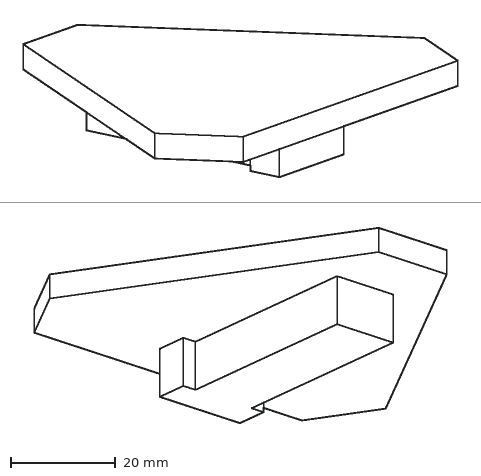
import cadquery as cq
import math

plate_width = 83.7
corner_cut = 17.0
plate_thickness = 5.0
triangle_side = plate_width + corner_cut
corner_radius = triangle_side / math.sqrt(3)
triangle_inradius = corner_radius / 2
cut_distance = corner_radius - corner_cut * math.sqrt(3) / 2

total_height = 15.0
boss_height = total_height - plate_thickness
boss_angle = 30
stem_start = -29.3
stem_width = 14.0
stem_length = 41.95
head_width = 20.0
head_length = 7.0


def make_plate():
    """Plate with its triangle centre on the Z axis and its underside at Z = 0."""
    half_cut = corner_cut / 2
    points = []
    for corner in range(3):
        angle = math.radians(90 + 120 * corner)
        for offset in (-half_cut, half_cut):
            x = cut_distance * math.cos(angle) - offset * math.sin(angle)
            y = cut_distance * math.sin(angle) + offset * math.cos(angle)
            points.append((x, y))
    return cq.Workplane("XY").polyline(points).close().extrude(plate_thickness)


def make_bar(start, length, width):
    """Bar along X that hangs from the underside of the plate."""
    return (
        cq.Workplane("XY")
        .center(start + length / 2, 0)
        .rect(length, width)
        .extrude(-boss_height)
    )


def make_boss():
    """Narrow stem with a wider head, turned onto the plate's symmetry axis."""
    stem = make_bar(stem_start, stem_length, stem_width)
    head = make_bar(stem_start + stem_length, head_length, head_width)
    return stem.union(head).rotate((0, 0, 0), (0, 0, 1), boss_angle)


result = make_plate().union(make_boss()).translate((0, triangle_inradius, 0))